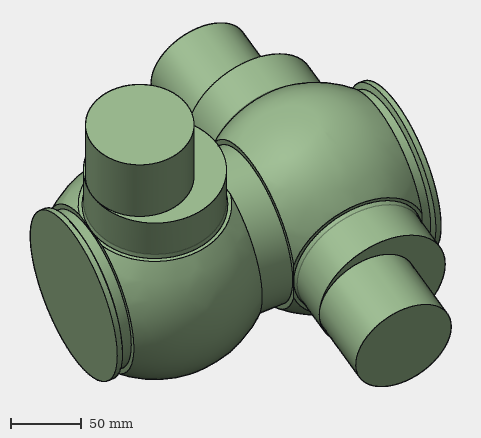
import cadquery as cq

overall_length = 260.5
sphere_spacing = 130.0
sphere_radius = 82.5
neck_face = 51.5
branch_face = 62.0

neck_radius = 60.5
flange_radius = 65.0
flange_thickness = 4.3
flange_bevel = 1.8

collar_radius = 50.7
collar_end = 98.5
pipe_radius = 38.5
pipe_end = 152.8
pipe_offset = collar_radius - pipe_radius
collar_foot_radius = neck_face
collar_foot_end = 65.5

front_center = cq.Vector(0, -sphere_spacing / 2, 0)
rear_center = cq.Vector(0, sphere_spacing / 2, 0)
OFFSET_DIRECTION = cq.Vector(0, -1, 0)
UP = cq.Vector(0, 0, 1)
LEFT = cq.Vector(-1, 0, 0)
RIGHT = cq.Vector(1, 0, 0)


def cylinder(radius, start, direction, length):
    return cq.Workplane(cq.Solid.makeCylinder(radius, length, start, direction))


def ball(center, branch_directions):
    """Sphere with flats facing both necks and every branch."""
    body = cq.Workplane().sphere(sphere_radius).translate(center)
    neck_start = center + OFFSET_DIRECTION * neck_face
    body = body.intersect(cylinder(2 * sphere_radius, neck_start, -OFFSET_DIRECTION, 2 * neck_face))
    for direction in branch_directions:
        flat_center = center + direction * branch_face
        body = body.cut(cylinder(sphere_radius, flat_center, direction, sphere_radius))
    return body


def branch(center, direction):
    """Collar with a slightly wider foot, and the eccentric pipe on its end."""
    collar = cylinder(collar_radius, center, direction, collar_end)
    foot = cylinder(collar_foot_radius, center, direction, branch_face)
    taper_start = center + direction * branch_face
    taper_length = collar_foot_end - branch_face
    taper = cq.Solid.makeCone(collar_foot_radius, collar_radius, taper_length, taper_start, direction)
    pipe_start = taper_start + OFFSET_DIRECTION * pipe_offset
    pipe = cylinder(pipe_radius, pipe_start, direction, pipe_end - branch_face)
    return collar.union(foot).union(cq.Workplane(taper)).union(pipe)


def neck_and_flanges():
    """Core through both spheres, ending in a bevelled flange at each end."""
    half_length = overall_length / 2
    flange_back = half_length - flange_thickness
    bevel_start = flange_back - flange_bevel
    profile = (
        cq.Workplane("XY")
        .moveTo(0, -half_length)
        .lineTo(flange_radius, -half_length)
        .lineTo(flange_radius, -flange_back)
        .lineTo(neck_radius, -bevel_start)
        .lineTo(neck_radius, bevel_start)
        .lineTo(flange_radius, flange_back)
        .lineTo(flange_radius, half_length)
        .lineTo(0, half_length)
        .close()
    )
    return profile.revolve(360, (0, 0, 0), (0, 1, 0))


result = neck_and_flanges()
for center, directions in ((front_center, (UP,)), (rear_center, (LEFT, RIGHT))):
    result = result.union(ball(center, directions))
    for direction in directions:
        result = result.union(branch(center, direction))